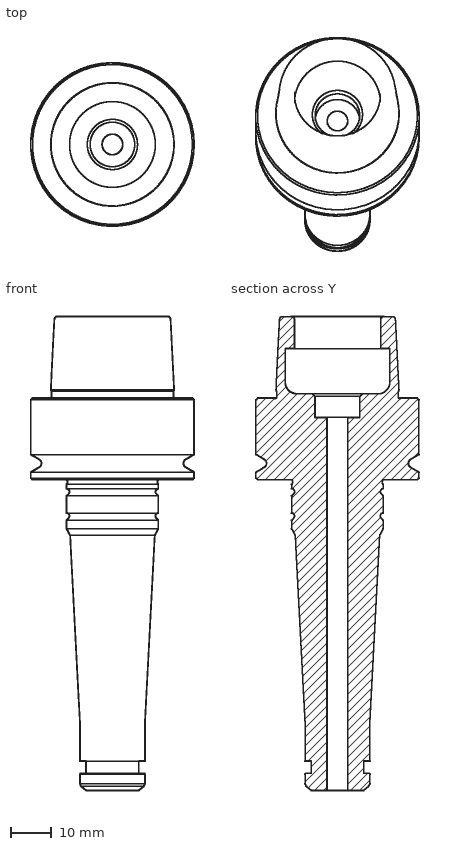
import cadquery as cq
import math

OVERALL_LENGTH = 116.0

FLANGE_TOP_Z = 96.0
FLANGE_BOTTOM_Z = 76.0
COLLAR_BOTTOM_Z = 64.0
SHANK_TOP_Z = 62.4
SHANK_TAPER_END_Z = 17.0

NOSE_TIP_DIAMETER = 28.4
NOSE_TAPER = 0.1
NOSE_TAPER_LENGTH = 18.0
NOSE_TIP_FILLET = 0.8
NECK_DIAMETER = 29.9
NECK_CONE_LENGTH = 0.3
NECK_ROOT_FILLET = 0.3

FLANGE_DIAMETER = 40.0
FLANGE_EDGE_CHAMFER = 0.5
DISH_OUTER_DIAMETER = 32.0
DISH_DEPTH = 0.1
GRIP_GROOVE_DIAMETER = 34.8
GRIP_GROOVE_CENTRE_Z = 80.0
GRIP_GROOVE_FLOOR_WIDTH = 1.3
GRIP_GROOVE_FILLET = 0.9
GRIP_GROOVE_FLANK_ANGLE = 30.0

COLLAR_DIAMETER = 22.5
SEAL_GROOVE_RADIUS = 0.7
SEAL_GROOVE_TOPS_Z = (73.8, 67.9)
UNDERCUT_WIDTH = 1.0
UNDERCUT_DEPTH = 0.2

SHANK_TOP_DIAMETER = 20.8
SHANK_END_DIAMETER = 16.0
END_GROOVE_DIAMETER = 13.0
END_GROOVE_TOP_Z = 7.2
END_GROOVE_BOTTOM_Z = 4.3
END_GROOVE_CHAMFER = 0.2
TIP_CONE_TOP_Z = 1.7
TIP_CONE_BOTTOM_Z = 1.0
TIP_CONE_DIAMETER = 15.4
TIP_DIAMETER = 12.8

MOUTH_DIAMETER = 21.0
MOUTH_FILLET = 0.8
MOUTH_DEPTH = 7.9
CHAMBER_DIAMETER = 25.5
CHAMBER_DEPTH = 18.9
CHAMBER_FLOOR_FILLET = 2.8
SEAT_DIAMETER = 10.9
SEAT_CHAMFER = 0.7
SEAT_DEPTH = 5.8
THROUGH_HOLE_DIAMETER = 5.0


def turned(levels):
    """Solid of revolution about Z from (diameter, z) pairs along its outer side."""
    first_z = levels[0][1]
    last_z = levels[-1][1]
    outline = [(0, first_z)]
    outline += [(diameter / 2, z) for diameter, z in levels]
    outline.append((0, last_z))
    return revolved(cq.Workplane("XZ").polyline(outline).close())


def revolved(outline):
    return outline.revolve(360, (0, 0, 0), (0, 1, 0))


def cylinder(diameter, bottom_z, top_z):
    return turned([(diameter, bottom_z), (diameter, top_z)])


def nose():
    taper_end_z = OVERALL_LENGTH - NOSE_TAPER_LENGTH
    taper_end_diameter = NOSE_TIP_DIAMETER + NOSE_TAPER * NOSE_TAPER_LENGTH
    body = turned([
        (NECK_DIAMETER, FLANGE_TOP_Z - DISH_DEPTH),
        (NECK_DIAMETER, taper_end_z - NECK_CONE_LENGTH),
        (taper_end_diameter, taper_end_z),
        (NOSE_TIP_DIAMETER, OVERALL_LENGTH),
    ])
    return body.faces(">Z").edges().fillet(NOSE_TIP_FILLET)


def neck_root():
    """Ring with a concave fillet, blending the neck into the dished top of the flange."""
    neck_radius = NECK_DIAMETER / 2
    core_radius = neck_radius - NECK_ROOT_FILLET
    dish_floor_z = FLANGE_TOP_Z - DISH_DEPTH
    fillet_gap = NECK_ROOT_FILLET * (1 - math.sqrt(0.5))
    return revolved(
        cq.Workplane("XZ")
        .moveTo(core_radius, dish_floor_z)
        .lineTo(neck_radius + NECK_ROOT_FILLET, dish_floor_z)
        .threePointArc(
            (neck_radius + fillet_gap, dish_floor_z + fillet_gap),
            (neck_radius, dish_floor_z + NECK_ROOT_FILLET),
        )
        .lineTo(core_radius, dish_floor_z + NECK_ROOT_FILLET)
        .close()
    )


def grip_groove():
    """Ring cutter: a V-flanked groove with rounded corners at its floor."""
    flank_depth = (FLANGE_DIAMETER - GRIP_GROOVE_DIAMETER) / 2
    flank_height = flank_depth * math.tan(math.radians(GRIP_GROOVE_FLANK_ANGLE))
    floor_half_width = GRIP_GROOVE_FLOOR_WIDTH / 2
    mouth_half_width = floor_half_width + flank_height
    floor_radius = GRIP_GROOVE_DIAMETER / 2
    flange_radius = FLANGE_DIAMETER / 2
    ring = revolved(
        cq.Workplane("XZ")
        .moveTo(flange_radius, GRIP_GROOVE_CENTRE_Z - mouth_half_width)
        .lineTo(floor_radius, GRIP_GROOVE_CENTRE_Z - floor_half_width)
        .lineTo(floor_radius, GRIP_GROOVE_CENTRE_Z + floor_half_width)
        .lineTo(flange_radius, GRIP_GROOVE_CENTRE_Z + mouth_half_width)
        .close()
    )
    floor_corners = cq.selectors.RadiusNthSelector(0)
    return ring.edges(floor_corners).fillet(GRIP_GROOVE_FILLET)


def flange():
    edge_diameter = FLANGE_DIAMETER - 2 * FLANGE_EDGE_CHAMFER
    dish_inner_diameter = NECK_DIAMETER + 2 * NECK_ROOT_FILLET
    body = turned([
        (edge_diameter, FLANGE_BOTTOM_Z),
        (FLANGE_DIAMETER, FLANGE_BOTTOM_Z + FLANGE_EDGE_CHAMFER),
        (FLANGE_DIAMETER, FLANGE_TOP_Z - FLANGE_EDGE_CHAMFER),
        (edge_diameter, FLANGE_TOP_Z),
        (DISH_OUTER_DIAMETER, FLANGE_TOP_Z),
        (dish_inner_diameter, FLANGE_TOP_Z - DISH_DEPTH),
    ])
    return body.cut(grip_groove())


def seal_groove(top_z):
    """Ring cutter: a round trough below a square shoulder, running out at 45 degrees."""
    collar_radius = COLLAR_DIAMETER / 2
    trough_z = top_z - SEAL_GROOVE_RADIUS
    diagonal = SEAL_GROOVE_RADIUS * math.sqrt(0.5)
    run_out_start = (collar_radius - diagonal, trough_z - diagonal)
    run_out_end = (collar_radius, trough_z - 2 * diagonal)
    return revolved(
        cq.Workplane("XZ")
        .moveTo(collar_radius, top_z)
        .threePointArc((collar_radius - SEAL_GROOVE_RADIUS, trough_z), run_out_start)
        .lineTo(*run_out_end)
        .close()
    )


def flange_undercut():
    """Ring cutter: a shallow round groove where the collar meets the flange."""
    collar_radius = COLLAR_DIAMETER / 2
    return revolved(
        cq.Workplane("XZ")
        .moveTo(collar_radius, FLANGE_BOTTOM_Z)
        .threePointArc(
            (collar_radius - UNDERCUT_DEPTH, FLANGE_BOTTOM_Z - UNDERCUT_WIDTH / 2),
            (collar_radius, FLANGE_BOTTOM_Z - UNDERCUT_WIDTH),
        )
        .close()
    )


def collar():
    body = cylinder(COLLAR_DIAMETER, COLLAR_BOTTOM_Z, FLANGE_BOTTOM_Z)
    for top_z in SEAL_GROOVE_TOPS_Z:
        body = body.cut(seal_groove(top_z))
    return body.cut(flange_undercut())


def shank():
    return turned([
        (TIP_DIAMETER, 0),
        (TIP_CONE_DIAMETER, TIP_CONE_BOTTOM_Z),
        (SHANK_END_DIAMETER, TIP_CONE_TOP_Z),
        (SHANK_END_DIAMETER, END_GROOVE_BOTTOM_Z - END_GROOVE_CHAMFER),
        (SHANK_END_DIAMETER - 2 * END_GROOVE_CHAMFER, END_GROOVE_BOTTOM_Z),
        (END_GROOVE_DIAMETER, END_GROOVE_BOTTOM_Z),
        (END_GROOVE_DIAMETER, END_GROOVE_TOP_Z),
        (SHANK_END_DIAMETER, END_GROOVE_TOP_Z),
        (SHANK_END_DIAMETER, SHANK_TAPER_END_Z),
        (SHANK_TOP_DIAMETER, SHANK_TOP_Z),
        (COLLAR_DIAMETER, COLLAR_BOTTOM_Z),
    ])


def mouth():
    """Bore cutter for the open end, flaring out along the rim's inner fillet."""
    mouth_radius = MOUTH_DIAMETER / 2
    mouth_bottom_z = OVERALL_LENGTH - MOUTH_DEPTH
    fillet_gap = MOUTH_FILLET * (1 - math.sqrt(0.5))
    return revolved(
        cq.Workplane("XZ")
        .moveTo(0, mouth_bottom_z)
        .lineTo(mouth_radius, mouth_bottom_z)
        .lineTo(mouth_radius, OVERALL_LENGTH - MOUTH_FILLET)
        .threePointArc(
            (mouth_radius + fillet_gap, OVERALL_LENGTH - fillet_gap),
            (mouth_radius + MOUTH_FILLET, OVERALL_LENGTH),
        )
        .lineTo(0, OVERALL_LENGTH)
        .close()
    )


def bore():
    floor_z = OVERALL_LENGTH - CHAMBER_DEPTH
    chamber = cylinder(CHAMBER_DIAMETER, floor_z, OVERALL_LENGTH - MOUTH_DEPTH)
    chamber = chamber.faces("<Z").edges().fillet(CHAMBER_FLOOR_FILLET)
    seat = turned([
        (SEAT_DIAMETER, floor_z - SEAT_DEPTH),
        (SEAT_DIAMETER, floor_z - SEAT_CHAMFER),
        (SEAT_DIAMETER + 2 * SEAT_CHAMFER, floor_z),
    ])
    through_hole = cylinder(THROUGH_HOLE_DIAMETER, 0, floor_z)
    return mouth().union(chamber).union(seat).union(through_hole)


result = nose().union(neck_root()).union(flange()).union(collar()).union(shank()).cut(bore())